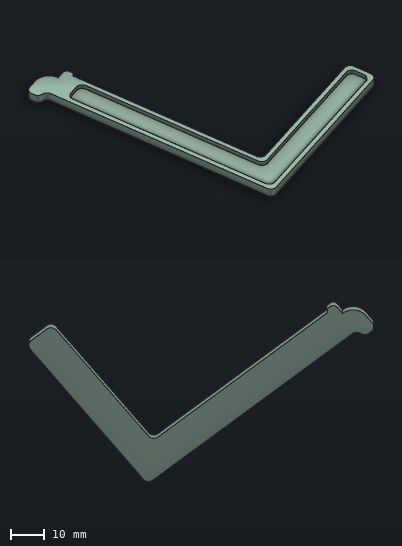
import cadquery as cq
import math

length = 85.0
height = 61.0
thickness = 3.0

arm_width = 10.0
arm_bottom = 3.0
arm_top = arm_bottom + arm_width
upright_left = length - arm_width
corner_radius = 2.0

head_top = 10.0
head_radius = 5.0
toe_radius = 2.0
toe_flat_end = 3.0

tab_left = head_radius
tab_right = 8.0
tab_rise = 1.0
tab_top = arm_top + tab_rise
tab_radius = 1.5
tab_foot_radius = 0.8

wall = 1.5
pocket_left = 11.8
pocket_depth = 1.5

selection_margin = 0.85

DIAGONAL = math.sqrt(0.5)


def l_outline(left, bottom, right, top, inner_x, inner_y):
    """Closed L shape whose inner corner is at (inner_x, inner_y)."""
    return cq.Workplane("XY").polyline([
        (left, bottom),
        (right, bottom),
        (right, top),
        (inner_x, top),
        (inner_x, inner_y),
        (left, inner_y),
    ]).close()


def make_arms():
    """L plate starting at the tab, with every corner but the head end rounded."""
    plate = l_outline(tab_right, arm_bottom, length, height, upright_left, arm_top).extrude(thickness)
    rounded_edges = plate.edges("|Z").edges(cq.selectors.BoxSelector(
        (upright_left - selection_margin, 0, -selection_margin),
        (length + selection_margin, height + selection_margin, thickness + selection_margin),
    ))
    return rounded_edges.fillet(corner_radius)


def make_head():
    """Rounded hook and tab, blended into the underside of the long arm by an S curve."""
    toe_center_y = toe_radius
    blend_center_y = arm_bottom - toe_radius
    center_drop = toe_center_y - blend_center_y
    center_run = math.sqrt((2 * toe_radius) ** 2 - center_drop ** 2)
    blend_end = toe_flat_end + center_run
    s_middle = (toe_flat_end + center_run / 2, toe_center_y - center_drop / 2)

    foot_end = tab_right + tab_foot_radius
    foot_start_y = arm_top + tab_foot_radius
    foot_middle = (
        foot_end - tab_foot_radius * DIAGONAL,
        foot_start_y - tab_foot_radius * DIAGONAL,
    )
    tab_center = (tab_left + tab_radius, tab_top - tab_radius)
    tab_middle = (tab_center[0] - tab_radius * DIAGONAL, tab_center[1] + tab_radius * DIAGONAL)

    outline = (
        cq.Workplane("XY")
        .moveTo(toe_radius, 0)
        .lineTo(toe_flat_end, 0)
        .tangentArcPoint(s_middle, relative=False)
        .tangentArcPoint((blend_end, arm_bottom), relative=False)
        .lineTo(foot_end, arm_bottom)
        .lineTo(foot_end, arm_top)
        .threePointArc(foot_middle, (tab_right, foot_start_y))
        .lineTo(tab_right, tab_top)
        .lineTo(tab_center[0], tab_top)
        .threePointArc(tab_middle, (tab_left, tab_center[1]))
        .lineTo(tab_left, head_top)
        .radiusArc((0, head_top - head_radius), -head_radius)
        .lineTo(0, toe_radius)
        .radiusArc((toe_radius, 0), -toe_radius)
        .close()
    )
    return outline.extrude(thickness)


def make_pocket():
    """L-shaped recess leaving an even wall along both arms."""
    recess = l_outline(
        pocket_left,
        arm_bottom + wall,
        length - wall,
        height - wall,
        upright_left + wall,
        arm_top - wall,
    ).extrude(pocket_depth)
    return recess.edges("|Z").fillet(corner_radius).translate((0, 0, thickness - pocket_depth))


result = make_arms().union(make_head()).cut(make_pocket()).clean()